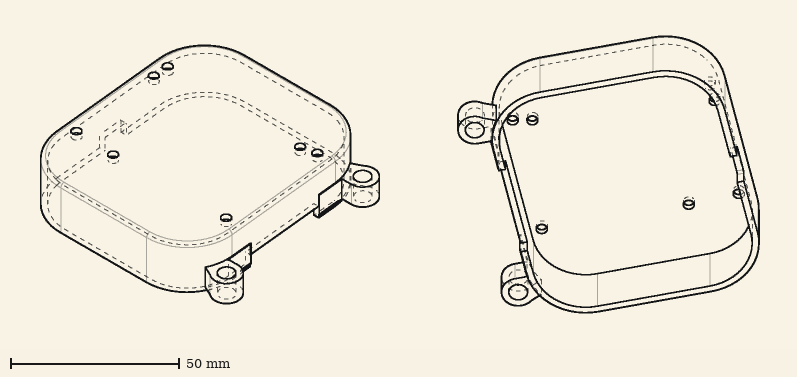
import cadquery as cq
import math

body_x = 70.4
body_y = 81.8
body_z = 18.8
corner_radius = 18.0
top_fillet = 1.4
wall = 2.05

main_hole_diameter = 3.3
extra_hole_diameter = 3.2
main_left_x = -30.2
main_right_x = 29.8
main_front_y = -19.5
main_back_y = 21.0
extra_hole_centres = [(24.1, 19.7), (-30.4, 15.05), (-14.8, -20.2)]

notch_width = 9.6
notch_height = 5.0
notch_centre_y = 1.1
notch_corner_radius = 0.7

overall_x = 79.4
lug_radius = 5.0
lug_hole_diameter = 5.6
lug_half_spacing = 30.2
lug_middle_y = 0.5
lug_bottom = 1.2
lug_height = 7.8
lug_root_x = 31.7
lug_root_rise = 1.8
lug_shoulder_x = 36.0
lug_x = overall_x - body_x / 2 - lug_radius

pad_thickness = 0.25
opening_width = 30.3
opening_height = 4.5


def make_shell():
    """Rounded box with a soft top edge and an open underside."""
    shell = cq.Workplane("XY").box(body_x, body_y, body_z, centered=(True, True, False))
    shell = shell.edges("|Z").fillet(corner_radius).faces(">Z").edges().fillet(top_fillet)
    cavity = (
        cq.Workplane("XY")
        .box(body_x - 2 * wall, body_y - 2 * wall, body_z - wall, centered=(True, True, False))
        .edges("|Z")
        .fillet(corner_radius - wall)
    )
    return shell.cut(cavity), cavity


def make_lug(side):
    """Lug with its pad; side is +1 toward +Y and -1 toward -Y."""

    def place(x, outward):
        return (x, lug_middle_y + side * (lug_half_spacing + outward))

    shoulder_rise = math.sqrt(lug_radius**2 - (lug_x - lug_shoulder_x) ** 2)
    inner_x = body_x / 2 - wall
    lug = (
        cq.Workplane("XY", origin=(0, 0, lug_bottom))
        .moveTo(*place(lug_root_x, -lug_radius))
        .lineTo(*place(lug_x, -lug_radius))
        .threePointArc(place(lug_x + lug_radius, 0), place(lug_shoulder_x, shoulder_rise))
        .lineTo(*place(lug_root_x, lug_root_rise))
        .close()
        .extrude(lug_height)
    )
    hole = (
        cq.Workplane("XY", origin=(0, 0, lug_bottom))
        .center(*place(lug_x, 0))
        .circle(lug_hole_diameter / 2)
        .extrude(lug_height)
    )
    pad_length = lug_half_spacing - lug_radius - opening_width / 2
    pad_centre_y = lug_middle_y + side * (opening_width + pad_length) / 2
    pad = cq.Workplane("XY").box(wall + pad_thickness, pad_length, lug_height, centered=(False, True, False))
    return lug.cut(hole).union(pad.translate((inner_x, pad_centre_y, lug_bottom)))


def lid_holes(centres, diameter):
    return cq.Workplane("XY").pushPoints(centres).circle(diameter / 2).extrude(body_z)


def make_notch():
    notch = cq.Workplane("XY").box(2 * wall, notch_width, notch_height, centered=(True, True, False))
    notch = notch.faces(">Z").edges("|X").fillet(notch_corner_radius)
    return notch.translate((-body_x / 2, notch_centre_y, 0))


def make_opening():
    opening = cq.Workplane("XY").box(2 * wall, opening_width, opening_height, centered=(True, True, False))
    return opening.translate((body_x / 2, lug_middle_y, 0))


main_hole_centres = [(x, y) for x in (main_left_x, main_right_x) for y in (main_front_y, main_back_y)]

shell, cavity = make_shell()
for side in (1, -1):
    shell = shell.union(make_lug(side).cut(cavity))
shell = shell.cut(lid_holes(main_hole_centres, main_hole_diameter))
shell = shell.cut(lid_holes(extra_hole_centres, extra_hole_diameter))
result = shell.cut(make_notch()).cut(make_opening())